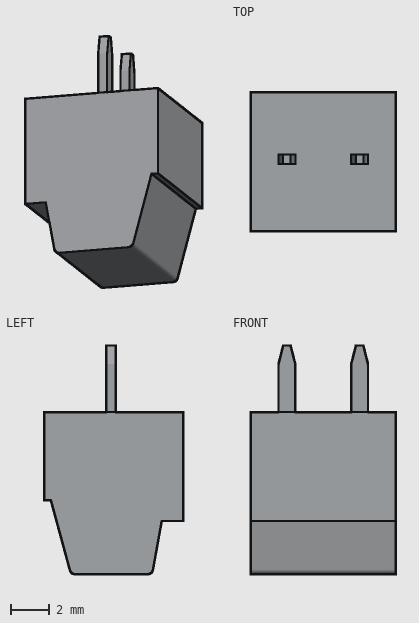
import cadquery as cq

total_height = 12.0
body_width = 7.62
body_depth = 7.3

body_height = 8.5
front_ledge_height = 2.8
rear_ledge_height = 3.88

front_ledge_depth = 1.13
rear_ledge_depth = 0.35
front_foot_inset = 1.63
rear_foot_inset = 1.4
foot_radius = 0.3

pin_count = 2
pin_pitch = body_width / pin_count
pin_width = 0.9
pin_thickness = 0.5
pin_tip_width = 0.4
pin_tip_height = 1.0
pin_y = 0.15

front_y = -body_depth / 2
rear_y = body_depth / 2


def make_body():
    """Side outline extruded across X, with rounded bottom corners."""
    outline = [
        (front_y, body_height),
        (front_y, front_ledge_height),
        (front_y + front_ledge_depth, front_ledge_height),
        (front_y + front_foot_inset, 0),
        (rear_y - rear_foot_inset, 0),
        (rear_y - rear_ledge_depth, rear_ledge_height),
        (rear_y, rear_ledge_height),
        (rear_y, body_height),
    ]
    body = (
        cq.Workplane("YZ")
        .polyline(outline)
        .close()
        .extrude(body_width / 2, both=True)
    )
    return body.faces("<Z").edges("|X").fillet(foot_radius)


def make_pin(center_x):
    """Flat pin standing on the body top, narrowing in X toward its tip."""
    shoulder_height = total_height - pin_tip_height
    outline = [
        (center_x - pin_width / 2, body_height),
        (center_x + pin_width / 2, body_height),
        (center_x + pin_width / 2, shoulder_height),
        (center_x + pin_tip_width / 2, total_height),
        (center_x - pin_tip_width / 2, total_height),
        (center_x - pin_width / 2, shoulder_height),
    ]
    return (
        cq.Workplane("XZ", origin=(0, pin_y, 0))
        .polyline(outline)
        .close()
        .extrude(pin_thickness / 2, both=True)
    )


result = make_body()
for index in range(pin_count):
    pin_x = (index - (pin_count - 1) / 2) * pin_pitch
    result = result.union(make_pin(pin_x))